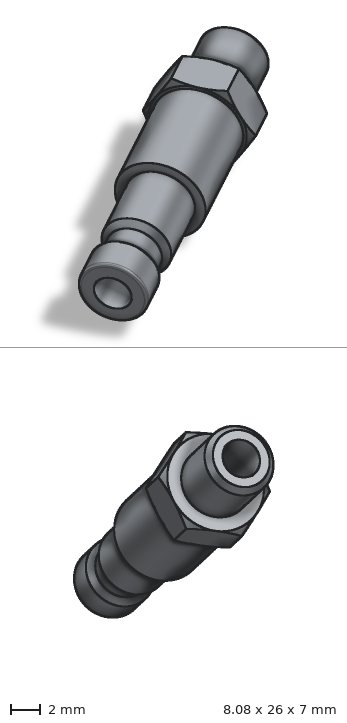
import cadquery as cq
import math

length = 26.0
tip_fillet = 0.23
groove_start = 2.5
groove_end = 5.0
shoulder_start = 10.0
hex_start = 18.0
hex_end = 21.0
tail_chamfer = 0.45

stem_radius = 5.0 / 2
groove_radius = 4.0 / 2
body_radius = 6.5 / 2
bore_radius = 2.7 / 2
hex_flats = 7.0
hex_corners = hex_flats / math.cos(math.radians(30))
hex_chamfer_angle = 30.0

groove_depth = stem_radius - groove_radius


def revolve_profile(points):
    """Revolve a closed (radius, station) outline about the Y axis."""
    return cq.Workplane("XY").polyline(points).close().revolve(360, (0, 0, 0), (0, 1, 0))


def make_turned_body():
    """Stepped shaft with a rounded tip edge and a groove with 45 degree sides."""
    shaft = revolve_profile([
        (0, 0),
        (stem_radius, 0),
        (stem_radius, groove_start),
        (groove_radius, groove_start + groove_depth),
        (groove_radius, groove_end - groove_depth),
        (stem_radius, groove_end),
        (stem_radius, shoulder_start),
        (body_radius, shoulder_start),
        (body_radius, hex_end),
        (stem_radius, hex_end),
        (stem_radius, length - tail_chamfer),
        (stem_radius - tail_chamfer, length),
        (0, length),
    ])
    return shaft.faces("<Y").edges().fillet(tip_fillet)


def make_hex():
    """Hexagon with flats facing +Z and -Z and corners chamfered at both ends."""
    prism = (
        cq.Workplane("XZ", origin=(0, hex_start, 0))
        .polygon(6, hex_corners)
        .extrude(hex_start - hex_end)
    )
    face_radius = hex_flats / 2
    corner_radius = hex_corners / 2
    chamfer_length = (corner_radius - face_radius) * math.tan(math.radians(hex_chamfer_angle))
    envelope = revolve_profile([
        (0, hex_start),
        (face_radius, hex_start),
        (corner_radius, hex_start + chamfer_length),
        (corner_radius, hex_end - chamfer_length),
        (face_radius, hex_end),
        (0, hex_end),
    ])
    return prism.intersect(envelope)


bore = cq.Workplane("XZ").circle(bore_radius).extrude(-length)

result = make_turned_body().union(make_hex()).cut(bore)